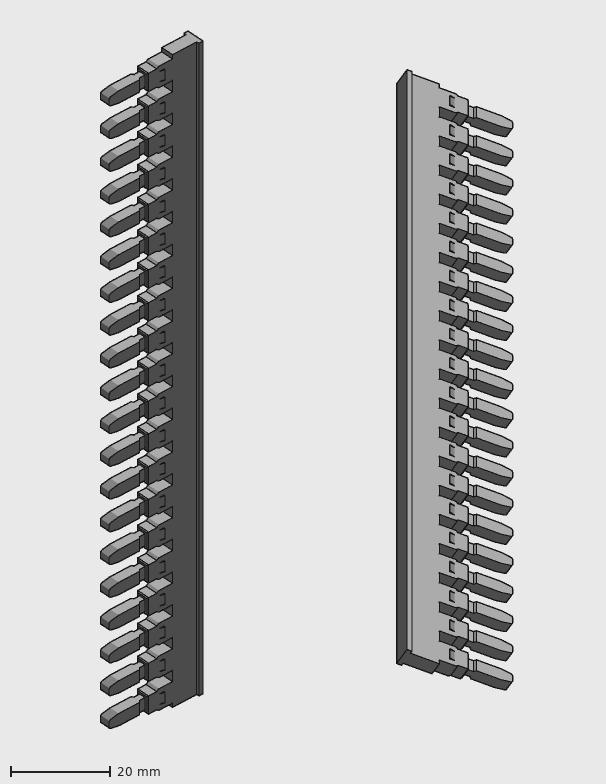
import cadquery as cq


bar_length = 163.4
flange_width = 4.5
flange_depth = 1.1
body_width = 3.3
spine_depth = 7.7

pin_count = 20
end_margin = 3.8
pin_pitch = (bar_length - 2 * end_margin) / (pin_count - 1)

root_height = 5.4
root_end = 11.5
root_round = 0.7
shoulder_height = 4.5
shoulder_start = 12.0
shoulder_end = 14.4
shoulder_chamfer = 0.25

neck_width = 1.6
blade_width = 2.6
blade_height = 3.1
neck_end = 15.8
blade_lead = 0.41

tip_start = 21.9
tip_height = 2.1
tip_round = 0.7
pin_reach = 24.5

barb_start = 10.0
barb_end = 11.1
barb_height = 2.6
barb_rise = 0.31


def block(width, height, depth):
    """Box centred on X and Z, reaching forward from the back face."""
    return cq.Workplane("XY").box(width, depth, height).translate((0, -depth / 2, 0))


def symmetric_prism(plane, stations, thickness):
    """Prism centred on its plane, outlined by (distance, full size) pairs mirrored about Y.

    "XY" takes the sizes along X, and "ZY" takes them along Z.
    """
    one_side = [(size / 2, -distance) for distance, size in stations]
    other_side = [(-across, y) for across, y in reversed(one_side)]
    outline = cq.Workplane(plane).polyline(one_side + other_side).close()
    return outline.extrude(thickness / 2, both=True)


def edges_at(distance, height):
    """Selector for the X-running edge pair at a distance from the back and a full height."""
    margin = 0.02
    y = -distance
    z = height / 2
    reach = flange_width
    upper = cq.selectors.BoxSelector((-reach, y - margin, z - margin), (reach, y + margin, z + margin))
    lower = cq.selectors.BoxSelector((-reach, y - margin, -z - margin), (reach, y + margin, -z + margin))
    return upper + lower


def side_shape():
    """Pin seen along X: root, sloped step, chamfered shoulder, blade and rounded tip."""
    stations = [
        (spine_depth, root_height),
        (root_end, root_height),
        (shoulder_start, shoulder_height),
        (shoulder_end - shoulder_chamfer, shoulder_height),
        (shoulder_end, shoulder_height - 2 * shoulder_chamfer),
        (shoulder_end, blade_height),
        (tip_start, blade_height),
        (pin_reach, tip_height),
    ]
    shape = symmetric_prism("ZY", stations, flange_width)
    shape = shape.edges(edges_at(root_end, root_height)).fillet(root_round)
    return shape.edges(edges_at(pin_reach, tip_height)).fillet(tip_round)


def plan_shape():
    """Pin seen along Z: chamfered full-width shoulder, thin neck and a blade with a sloped lead."""
    stations = [
        (spine_depth, body_width),
        (shoulder_end - shoulder_chamfer, body_width),
        (shoulder_end, body_width - 2 * shoulder_chamfer),
        (shoulder_end, neck_width),
        (neck_end, neck_width),
        (neck_end + blade_lead, blade_width),
        (pin_reach, blade_width),
    ]
    return symmetric_prism("XY", stations, root_height)


def barb_pair():
    """Barbs that stand proud at their rear end and run out toward the tip."""
    stations = [
        (barb_start, body_width + 2 * barb_rise),
        (barb_end, body_width),
    ]
    return symmetric_prism("XY", stations, barb_height)


pin = side_shape().intersect(plan_shape()).union(barb_pair())

spine = block(body_width, bar_length, spine_depth)
flange = block(flange_width, bar_length, flange_depth)
result = spine.union(flange)

first_pin_z = end_margin - bar_length / 2
for index in range(pin_count):
    result = result.union(pin.translate((0, 0, first_pin_z + index * pin_pitch)))